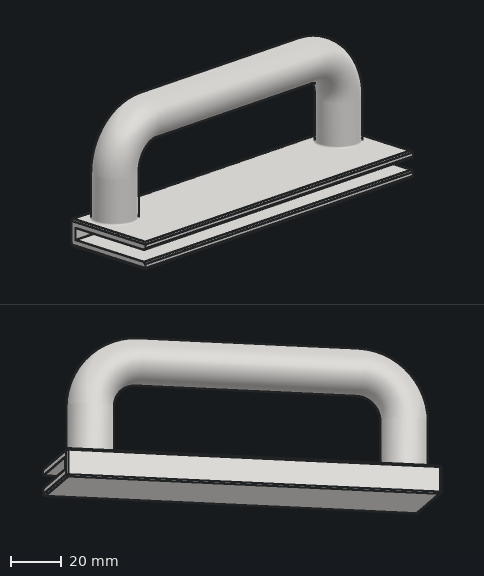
import cadquery as cq

base_width = 41.3
base_length = 152.4
base_height = 11.5
back_wall = 3.0
leaf_thickness = 3.2
edge_chamfer = 0.8

overall_height = 59.5
bar_radius = 9.5
bend_radius = 19.0
leg_inset = 12.5
foot_fillet = 0.99

bar_x = leg_inset
leg_y = base_length / 2 - leg_inset
grip_z = overall_height - bar_radius
bend_z = grip_z - bend_radius
straight_y = leg_y - bend_radius


def make_base():
    """Slotted block with chamfered outer edges and mouth lips; the upright edges at the mouth stay sharp."""
    block = cq.Workplane("XY").box(base_width, base_length, base_height, centered=(False, True, False))
    block = block.edges("not (|Z and >X)").chamfer(edge_chamfer)
    slot_depth = base_width - back_wall
    slot_height = base_height - 2 * leaf_thickness
    slot = (
        cq.Workplane("XY")
        .box(slot_depth, base_length, slot_height, centered=(False, True, False))
        .translate((back_wall, 0, leaf_thickness))
    )
    channel = block.cut(slot)
    mouth_lips = cq.selectors.BoxSelector(
        (base_width - edge_chamfer / 2, -base_length, leaf_thickness / 2),
        (base_width + edge_chamfer / 2, base_length, base_height - leaf_thickness / 2),
    )
    return channel.edges("|Y").edges(mouth_lips).chamfer(edge_chamfer)


def make_handle():
    """Round bar swept up one leg, along the grip and down the other leg."""
    path = (
        cq.Workplane("YZ", origin=(bar_x, 0, 0))
        .moveTo(-leg_y, base_height)
        .lineTo(-leg_y, bend_z)
        .radiusArc((-straight_y, grip_z), bend_radius)
        .lineTo(straight_y, grip_z)
        .radiusArc((leg_y, bend_z), bend_radius)
        .lineTo(leg_y, base_height)
    )
    foot = cq.Workplane("XY", origin=(bar_x, -leg_y, base_height))
    return foot.circle(bar_radius).sweep(path)


def fillet_feet(body):
    """Round the joint between each leg and the top of the base."""
    joints = cq.selectors.BoxSelector(
        (bar_x - 2 * bar_radius, -base_length, base_height - edge_chamfer / 2),
        (bar_x + 2 * bar_radius, base_length, base_height + edge_chamfer / 2),
    )
    return body.edges("%CIRCLE").edges(joints).fillet(foot_fillet)


result = fillet_feet(make_base().union(make_handle()))